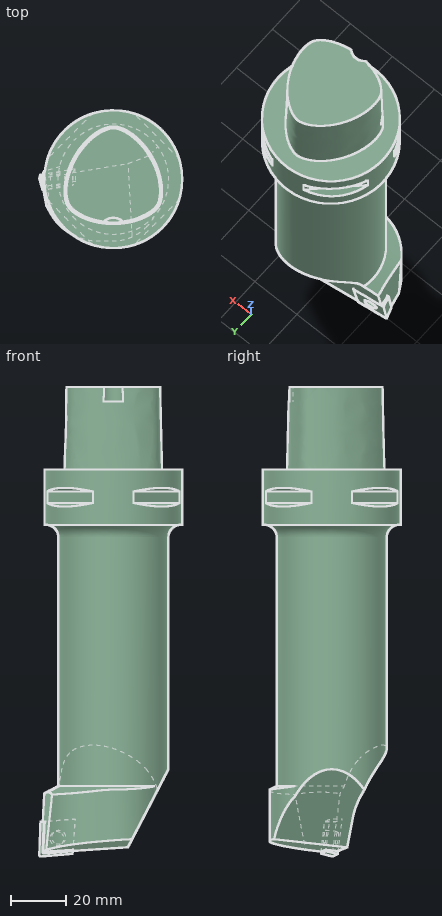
import cadquery as cq
import math

total_length = 170.0
shank_length = 30.0
bottom_z = shank_length - total_length

shank_base_radius = 17.7
shank_top_radius = 17.0
lobe_height = 1.45
lobe_angle = math.pi / 2
outline_points = 36
notch_radius = 4.8
notch_axis_y = -18.7
notch_depth = 5.3

flange_radius = 50.0 / 2
flange_height = 20.0
neck_radius = 40.0 / 2
cove_radius = 4.5
slot_count = 4
slot_first_angle = 45.0
slot_floor_distance = 22.1
slot_floor_height = 4.0
slot_mouth_height = 6.8

head_top_z = -114.5
head_cone_slope = 0.52
head_cone_reach = 10.2
head_arc_radius = 20.0
head_arc_x = -5.3
head_front_y = -22.5
head_flat_end_x = -0.3
head_side_tangent_angle = math.radians(209)
head_side_length = 13.6
head_right_corner = (14.0, -15.0)
head_neck_join = (17.5, -8.5)
side_point = (-25.0, 2.7, -117.1)
side_normal = (-1.0, -0.18, 0.072)
bottom_point = (head_arc_x, head_front_y, -134.6)
bottom_normal = (0.085, -0.107, -1.0)
back_point = (19.98, 0, -108.5)
back_angle = math.radians(27.4)
cut_size = 102.0

rake_slope_x = 0.158
rake_slope_z = 0.11
flute_start_x = -34.0
flute_run = 76.5
flute_drop_slope = 0.214
flute_bend_z = -116.3
flute_arc_radius = 30.6
flute_exit_angle = math.radians(50)
flute_height = 51.0

nose_rounding_drop = 0.07
insert_tip = (-26.9, 0.2, bottom_z - nose_rounding_drop)
insert_outline = [(0, 0), (12.2, 1.0), (13.5, 13.8), (0.7, 12.8)]
insert_thickness = 4.5
insert_relief = 7.0
insert_nose_radius = 0.7
insert_hole_diameter = 5.1
insert_hole_center = (6.6, 6.6)


def lobe_wire(radius, z):
    points = []
    for i in range(outline_points):
        angle = 2 * math.pi * i / outline_points
        phase = 3 * (angle - lobe_angle)
        support = radius + lobe_height * math.cos(phase)
        slope = -3 * lobe_height * math.sin(phase)
        x = support * math.cos(angle) - slope * math.sin(angle)
        y = support * math.sin(angle) + slope * math.cos(angle)
        points.append(cq.Vector(x, y, z))
    return cq.Wire.assembleEdges([cq.Edge.makeSpline(points, periodic=True)])


def make_shank():
    base = lobe_wire(shank_base_radius, 0)
    top = lobe_wire(shank_top_radius, shank_length)
    shank = cq.Workplane(cq.Solid.makeLoft([base, top]))
    notch = (
        cq.Workplane("XY", origin=(0, notch_axis_y, shank_length - notch_depth))
        .circle(notch_radius)
        .extrude(notch_depth)
    )
    return shank.cut(notch)


def make_flange_and_neck():
    cove_end_z = -flange_height - cove_radius
    cove_center_r = neck_radius + cove_radius
    cove_mid = cove_radius * math.sqrt(0.5)
    return (
        cq.Workplane("XZ")
        .lineTo(flange_radius, 0)
        .lineTo(flange_radius, -flange_height)
        .lineTo(cove_center_r, -flange_height)
        .threePointArc((cove_center_r - cove_mid, cove_end_z + cove_mid), (neck_radius, cove_end_z))
        .lineTo(neck_radius, bottom_z)
        .lineTo(0, bottom_z)
        .close()
        .revolve(360, (0, 0, 0), (0, 1, 0))
    )


def make_flange_slot(angle):
    depth = flange_radius - slot_floor_distance
    floor = slot_floor_height / 2
    mouth = slot_mouth_height / 2
    return (
        cq.Workplane("XZ", origin=(slot_floor_distance, 0, -flange_height / 2))
        .polyline([(0, -floor), (depth, -mouth), (depth, mouth), (0, floor)])
        .close()
        .extrude(flange_radius, both=True)
        .rotate((0, 0, 0), (0, 0, 1), angle)
    )


def half_space(point, normal):
    """Large block on the side of a plane that its normal points to."""
    plane = cq.Plane(origin=point, normal=normal)
    return cq.Workplane(plane).rect(2 * cut_size, 2 * cut_size).extrude(cut_size)


def make_head():
    center_y = head_front_y + head_arc_radius

    def on_arc(angle):
        return (head_arc_x + head_arc_radius * math.cos(angle), center_y + head_arc_radius * math.sin(angle))

    side_start = on_arc(head_side_tangent_angle)
    side_end = (
        side_start[0] + head_side_length * math.sin(head_side_tangent_angle),
        side_start[1] - head_side_length * math.cos(head_side_tangent_angle),
    )
    arc_mid = on_arc((head_side_tangent_angle + 1.5 * math.pi) / 2)
    blank = (
        cq.Workplane("XY", origin=(0, 0, bottom_z))
        .moveTo(*side_end)
        .lineTo(*side_start)
        .threePointArc(arc_mid, (head_arc_x, head_front_y))
        .lineTo(head_flat_end_x, head_front_y)
        .tangentArcPoint(head_right_corner, relative=False)
        .lineTo(*head_neck_join)
        .lineTo(0, neck_radius)
        .lineTo(side_end[0], neck_radius)
        .close()
        .extrude(head_top_z - bottom_z)
    )
    cone_end_r = neck_radius + head_cone_reach
    cone = (
        cq.Workplane("XZ")
        .moveTo(0, head_top_z)
        .lineTo(neck_radius, head_top_z)
        .lineTo(cone_end_r, head_top_z - head_cone_slope * head_cone_reach)
        .lineTo(cone_end_r, bottom_z)
        .lineTo(0, bottom_z)
        .close()
        .revolve(360, (0, 0, 0), (0, 1, 0))
    )
    return blank.intersect(cone).cut(half_space(side_point, side_normal))


def make_flute():
    """Profile in a plane of constant X, swept along the oblique flute direction."""
    rake_angle = math.atan(rake_slope_z)
    tip_x, tip_y, tip_z = insert_tip
    flute_bend_y = (
        tip_y + rake_slope_x * (flute_start_x - tip_x) + rake_slope_z * (flute_bend_z - tip_z)
    )

    def arc_point(angle):
        y = flute_bend_y + flute_arc_radius * (math.cos(rake_angle) - math.cos(angle))
        z = flute_bend_z + flute_arc_radius * (math.sin(angle) - math.sin(rake_angle))
        return (y, z)

    arc_mid = arc_point((rake_angle + flute_exit_angle) / 2)
    arc_end = arc_point(flute_exit_angle)
    exit_y = arc_end[0] + flute_height * math.tan(flute_exit_angle)
    low_y = flute_bend_y - flute_height * rake_slope_z
    low_z = flute_bend_z - flute_height
    profile = (
        cq.Workplane("YZ", origin=(flute_start_x, 0, 0))
        .moveTo(low_y, low_z)
        .lineTo(flute_bend_y, flute_bend_z)
        .threePointArc(arc_mid, arc_end)
        .lineTo(exit_y, arc_end[1] + flute_height)
        .lineTo(exit_y, low_z)
        .close()
        .wire()
        .val()
    )
    rise_y = rake_slope_x - rake_slope_z * flute_drop_slope
    sweep = cq.Vector(1, rise_y, -flute_drop_slope) * flute_run
    return cq.Workplane(cq.Solid.extrudeLinear(profile, [], sweep))


def insert_plane():
    """Rake plane at the cutting tip, with its normal pointing into the head."""
    return cq.Plane(
        origin=insert_tip,
        xDir=(1, rake_slope_x, 0),
        normal=(rake_slope_x, -1, rake_slope_z),
    )


def make_insert_blank():
    nose_edge_middle = insert_plane().toWorldCoords((0, 0, insert_thickness / 2))
    return (
        cq.Workplane(insert_plane())
        .polyline(insert_outline)
        .close()
        .extrude(insert_thickness, taper=insert_relief)
        .edges(cq.NearestToPointSelector(nose_edge_middle.toTuple()))
        .fillet(insert_nose_radius)
    )


def make_insert():
    hole = (
        cq.Workplane(insert_plane())
        .center(*insert_hole_center)
        .circle(insert_hole_diameter / 2)
        .extrude(insert_thickness)
    )
    return make_insert_blank().cut(hole)


def make_holder():
    holder = make_flange_and_neck().union(make_shank()).union(make_head())
    for i in range(slot_count):
        holder = holder.cut(make_flange_slot(slot_first_angle + i * 360 / slot_count))
    back_normal = (math.cos(back_angle), 0, -math.sin(back_angle))
    holder = holder.cut(half_space(back_point, back_normal))
    holder = holder.cut(half_space(bottom_point, bottom_normal))
    holder = holder.cut(make_flute())
    return holder.cut(make_insert_blank())


holder = make_holder()
insert = make_insert()

result = cq.Compound.makeCompound([holder.val(), insert.val()])